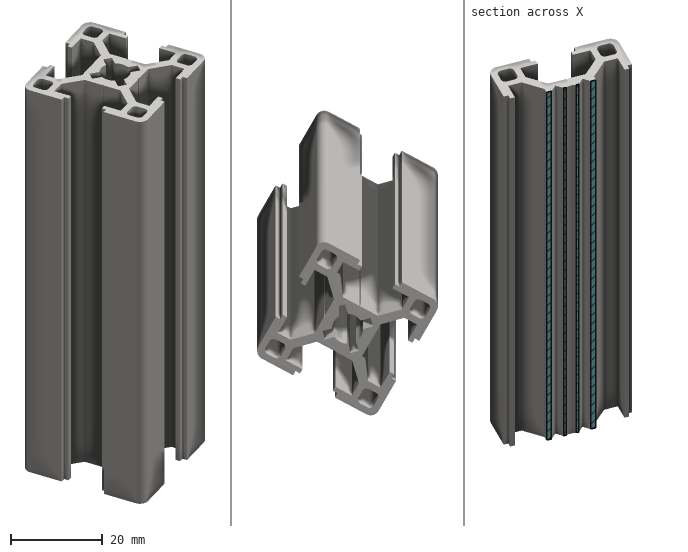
import cadquery as cq
import math

side = 30.0
length = 100.0
outer_radius = 2.0
half_side = side / 2

lip_half_width = 4.1
rebate_half_width = 5.2
rebate_depth = 1.1
lip_inner_depth = 2.2
cavity_half_width = 8.2
core_half_width = 5.8
web_thickness = 2.0
web_offset = web_thickness / math.sqrt(2)

groove_width = 0.4
groove_depth = 0.2

hollow_size = 3.8
hollow_radius = 1.0
hollow_centre = 11.6

bore_radius = 3.4
relief_width = 2.0
relief_tip_distance = 5.5

SIDE_ANGLES = (0, 90, 180, 270)


def make_bar():
    bar = cq.Workplane("XY").rect(side, side).extrude(length)
    return bar.edges("|Z").fillet(outer_radius)


def make_t_slot():
    """T-slot cutter for the +Y face, with the centre groove in its floor."""
    right_half = [
        (groove_width / 2, core_half_width),
        (core_half_width - web_offset, core_half_width),
        (cavity_half_width, cavity_half_width + web_offset),
        (cavity_half_width, half_side - lip_inner_depth),
        (lip_half_width, half_side - lip_inner_depth),
        (lip_half_width, half_side - rebate_depth),
        (rebate_half_width, half_side - rebate_depth),
        (rebate_half_width, half_side),
    ]
    left_half = [(-x, y) for x, y in reversed(right_half)]
    groove_bottom = (0, core_half_width - groove_depth)
    outline = [groove_bottom] + right_half + left_half
    return cq.Workplane("XY").polyline(outline).close().extrude(length)


def make_corner_hollows():
    hollows = cq.Workplane("XY").rect(2 * hollow_centre, 2 * hollow_centre, forConstruction=True).vertices()
    hollows = hollows.rect(hollow_size, hollow_size).extrude(length)
    return hollows.edges("|Z").fillet(hollow_radius)


def make_core_bore():
    bore = cq.Workplane("XY").circle(bore_radius).extrude(length)
    for angle in (45, 135):
        relief = cq.Workplane("XY").rect(2 * relief_tip_distance, relief_width).extrude(length)
        bore = bore.union(relief.rotate((0, 0, 0), (0, 0, 1), angle))
    return bore


result = make_bar()
t_slot = make_t_slot()
for angle in SIDE_ANGLES:
    result = result.cut(t_slot.rotate((0, 0, 0), (0, 0, 1), angle))
result = result.cut(make_corner_hollows()).cut(make_core_bore())